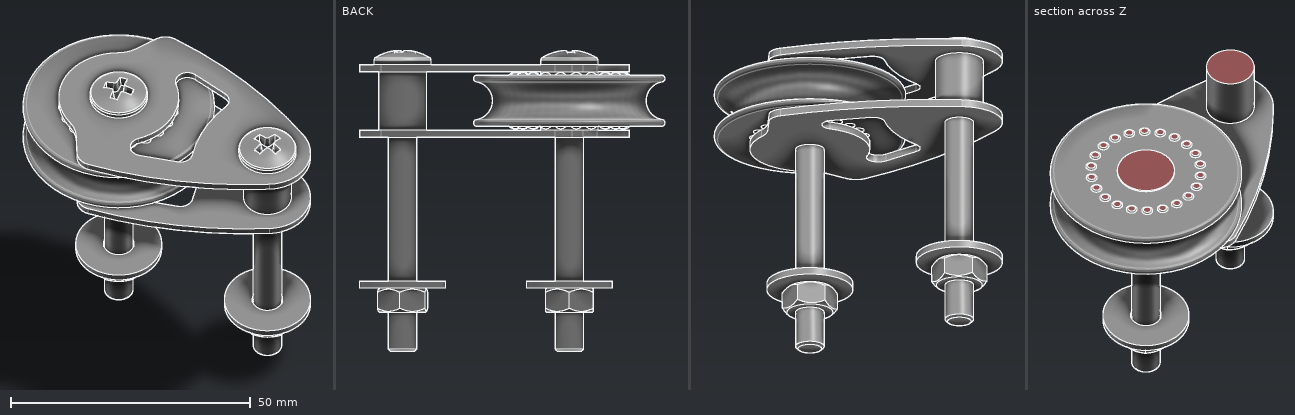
import cadquery as cq
import math


overall_length = 63.8
cheek_gap = 12.1
cheek_thickness = 1.55
cheek_inner_z = cheek_gap / 2
cheek_outer_z = cheek_inner_z + cheek_thickness

sheave_diameter = 40.0
sheave_width = 10.7
sheave_mid_z = 0.05
rim_thickness = 1.5
groove_root_radius = 16.1
hub_diameter = 12.0

ball_count = 22
ball_diameter = 3.0
ball_circle_radius = 11.5
ball_projection = 0.5
ball_row_turn = -1.0

hub_end_radius = 12.5
far_end_radius = 9.0
side_tangent_angle = 60.0
shoulder_x = 0.65
shoulder_y = 20.25
shoulder_round = 3.5
neck_x = -4.0
neck_round = 7.0

window_lobe_radius = 2.5
window_lobe_angle = 44.0
window_edge_angle = 76.0
window_far_x = 20.05
window_corner_x = 22.0
window_corner_round = 2.55

bolt_diameter = 6.0
bolt_length = 62.95
bolt_tip_chamfer = 0.5
head_diameter = 12.0
head_height = 3.05
head_rim_height = 0.95
head_bevel_height = 0.45
head_bevel_width = 0.2

recess_span = 6.25
recess_arm_width = 1.7
recess_depth = 2.5
recess_taper = 8.0
recess_inner_round = 0.5

spacer_diameter = 10.0
washer_diameter = 18.0
washer_hole_diameter = 6.4
washer_thickness = 1.5
washer_top_z = -37.6
nut_across_flats = 10.0
nut_height = 5.05
nut_bevel_angle = 41.0
nut_face_diameter = 9.6

bolt_spacing = overall_length - (sheave_diameter + washer_diameter) / 2

sheave_bolt_recess_turn = 7.0
sheave_bolt_nut_turn = -0.4
far_bolt_recess_turn = -17.0
far_bolt_nut_turn = -5.8


def polar(radius, angle):
    a = math.radians(angle)
    return (radius * math.cos(a), radius * math.sin(a))


def cylinder(diameter, bottom_z, top_z):
    return cq.Workplane("XY").workplane(offset=bottom_z).circle(diameter / 2).extrude(top_z - bottom_z)


def both_sides(half):
    """Join a half shape with its mirror image across the XZ plane."""
    return half.union(half.mirror("XZ")).clean()


def near(x, y):
    """Select the vertical edge closest to a point of the plate outline."""
    return cq.selectors.NearestToPointSelector((x, y, cheek_thickness / 2))


def make_sheave():
    outer = sheave_diameter / 2
    half_width = sheave_width / 2
    rim_inner_z = half_width - rim_thickness
    rim_round = rim_thickness / 2
    rim_center = outer - rim_round
    rim_mid_z = half_width - rim_round
    profile = (
        cq.Workplane("XZ")
        .moveTo(0, -half_width)
        .lineTo(rim_center, -half_width)
        .threePointArc((outer, -rim_mid_z), (rim_center, -rim_inner_z))
        .threePointArc((groove_root_radius, 0), (rim_center, rim_inner_z))
        .threePointArc((outer, rim_mid_z), (rim_center, half_width))
        .lineTo(0, half_width)
        .close()
    )
    return profile.revolve(360, (0, 0, 0), (0, 1, 0))


def make_balls():
    center_z = sheave_width / 2 + ball_projection - ball_diameter / 2
    balls = cq.Workplane("XY")
    for z in (-center_z, center_z):
        ring = (
            cq.Workplane("XY")
            .workplane(offset=z)
            .polarArray(ball_circle_radius, ball_row_turn, 360, ball_count)
            .sphere(ball_diameter / 2)
        )
        balls = balls.add(ring)
    return balls.combine()


def make_window():
    """Crescent window: hugs the hub end, with a lobe and a rounded corner at each side."""
    lobe_center = polar(hub_end_radius + window_lobe_radius, window_lobe_angle)

    def on_lobe(angle):
        dx, dy = polar(window_lobe_radius, angle)
        return (lobe_center[0] + dx, lobe_center[1] + dy)

    edge_start = on_lobe(window_edge_angle)
    edge_slope = -1 / math.tan(math.radians(window_edge_angle))
    corner_y = edge_start[1] + edge_slope * (window_corner_x - edge_start[0])
    far_rise = window_corner_x - window_far_x
    far_radius = (corner_y**2 + far_rise**2) / (2 * far_rise)
    far_half_angle = math.degrees(math.asin(corner_y / far_radius))
    far_dx, far_mid_y = polar(far_radius, far_half_angle / 2)
    far_mid = (window_far_x + far_radius - far_dx, far_mid_y)
    lobe_mid_angle = (window_edge_angle + window_lobe_angle + 180) / 2
    half = (
        cq.Workplane("XY")
        .moveTo(hub_end_radius, 0)
        .threePointArc(polar(hub_end_radius, window_lobe_angle / 2), polar(hub_end_radius, window_lobe_angle))
        .threePointArc(on_lobe(lobe_mid_angle), edge_start)
        .lineTo(window_corner_x, corner_y)
        .threePointArc(far_mid, (window_far_x, 0))
        .close()
        .extrude(cheek_thickness)
        .edges("|Z").edges(near(window_corner_x, corner_y)).fillet(window_corner_round)
    )
    return both_sides(half)


def make_cheek():
    """Teardrop plate, built as one half and mirrored, with its window cut out."""
    side_dx, side_y = polar(far_end_radius, side_tangent_angle)
    far_mid_dx, far_mid_y = polar(far_end_radius, side_tangent_angle / 2)
    neck_y = math.sqrt(hub_end_radius**2 - neck_x**2)
    neck_angle = math.degrees(math.atan2(neck_y, neck_x))
    half = (
        cq.Workplane("XY")
        .moveTo(bolt_spacing + far_end_radius, 0)
        .threePointArc((bolt_spacing + far_mid_dx, far_mid_y), (bolt_spacing + side_dx, side_y))
        .tangentArcPoint((shoulder_x, shoulder_y), relative=False)
        .lineTo(neck_x, neck_y)
        .threePointArc(polar(hub_end_radius, (neck_angle + 180) / 2), (-hub_end_radius, 0))
        .close()
        .extrude(cheek_thickness)
        .edges("|Z").edges(near(shoulder_x, shoulder_y)).fillet(shoulder_round)
        .edges("|Z").edges(near(neck_x, neck_y)).fillet(neck_round)
    )
    return both_sides(half).cut(make_window())


def make_recess(turn):
    """Tapered cross with its four inner corners rounded."""
    reach = recess_arm_width
    inner_corners = cq.selectors.BoxSelector((-reach, -reach, -reach), (reach, reach, reach))
    cross = (
        cq.Sketch()
        .rect(recess_span, recess_arm_width)
        .rect(recess_arm_width, recess_span)
        .clean()
        .vertices(inner_corners)
        .fillet(recess_inner_round)
        .reset()
    )
    top_z = cheek_outer_z + head_height
    return (
        cq.Workplane("XY")
        .workplane(offset=top_z)
        .placeSketch(cross)
        .extrude(-recess_depth, taper=recess_taper)
        .rotate((0, 0, 0), (0, 0, 1), turn)
    )


def make_bolt(recess_turn):
    head_radius = head_diameter / 2
    dome_radius_at_edge = head_radius - head_bevel_width
    dome_edge_z = cheek_outer_z + head_rim_height + head_bevel_height
    top_z = cheek_outer_z + head_height
    dome_rise = top_z - dome_edge_z
    dome_radius = (dome_radius_at_edge**2 + dome_rise**2) / (2 * dome_rise)
    mid_r = dome_radius_at_edge / 2
    mid_z = top_z - dome_radius + math.sqrt(dome_radius**2 - mid_r**2)
    head = (
        cq.Workplane("XZ")
        .moveTo(0, cheek_outer_z)
        .lineTo(head_radius, cheek_outer_z)
        .lineTo(head_radius, cheek_outer_z + head_rim_height)
        .lineTo(dome_radius_at_edge, dome_edge_z)
        .threePointArc((mid_r, mid_z), (0, top_z))
        .close()
        .revolve(360, (0, 0, 0), (0, 1, 0))
    )
    shank = cylinder(bolt_diameter, top_z - bolt_length, cheek_outer_z)
    shank = shank.faces("<Z").chamfer(bolt_tip_chamfer)
    return shank.union(head.cut(make_recess(recess_turn)))


def make_nut(turn):
    """Hexagon nut with a flat facing -X before its turn, its corners bevelled by a cone at both faces."""
    top_z = washer_top_z - washer_thickness
    bottom_z = top_z - nut_height
    across_corners = nut_across_flats / math.cos(math.pi / 6)
    hexagon = (
        cq.Workplane("XY")
        .workplane(offset=bottom_z)
        .polygon(6, across_corners)
        .extrude(nut_height)
        .rotate((0, 0, 0), (0, 0, 1), 30 + turn)
    )
    bevel_width = (across_corners - nut_face_diameter) / 2
    bevel_height = bevel_width * math.tan(math.radians(nut_bevel_angle))
    envelope = cylinder(across_corners, bottom_z, top_z).faces("<Z or >Z").chamfer(bevel_height, bevel_width)
    return hexagon.intersect(envelope)


def make_washer():
    bottom_z = washer_top_z - washer_thickness
    washer = cylinder(washer_diameter, bottom_z, washer_top_z)
    return washer.cut(cylinder(washer_hole_diameter, bottom_z, washer_top_z))


def make_bolt_set(recess_turn, nut_turn):
    return make_bolt(recess_turn).union(make_washer()).union(make_nut(nut_turn))


cheek = make_cheek()
hub = cylinder(hub_diameter, -cheek_inner_z, cheek_inner_z)
spacer = cylinder(spacer_diameter, -cheek_inner_z, cheek_inner_z)
far_bolt_set = make_bolt_set(far_bolt_recess_turn, far_bolt_nut_turn)

result = (
    make_sheave()
    .union(make_balls())
    .translate((0, 0, sheave_mid_z))
    .union(hub)
    .union(cheek.translate((0, 0, cheek_inner_z)))
    .union(cheek.translate((0, 0, -cheek_outer_z)))
    .union(make_bolt_set(sheave_bolt_recess_turn, sheave_bolt_nut_turn))
    .union(spacer.union(far_bolt_set).translate((bolt_spacing, 0, 0)))
)